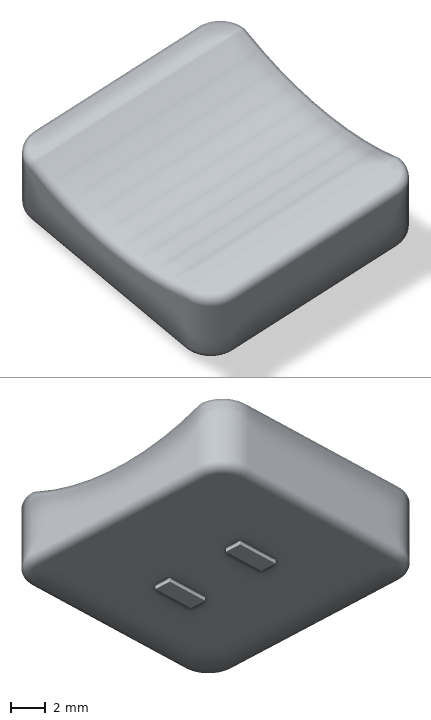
import cadquery as cq

total_height = 5.25
width = 17.5
depth = 16.5
body_height = 5.0
corner_radius = 2.0
edge_radius = 0.5

dish_width = width - 2 * corner_radius
dish_depth = 1.33

pad_height = total_height - body_height
pad_width = 1.15
pad_length = 2.9
pad_spacing = 5.7


def make_block():
    """Rounded-corner block standing on Z = 0."""
    block = cq.Workplane("XY").box(width, depth, body_height, centered=(True, True, False))
    return block.edges("|Z").fillet(corner_radius)


def make_dish_cutter():
    """Circular segment that meets the top face where the corner rounds begin."""
    return (
        cq.Workplane("XZ")
        .moveTo(-dish_width / 2, body_height)
        .threePointArc((0, body_height - dish_depth), (dish_width / 2, body_height))
        .close()
        .extrude(depth / 2, both=True)
    )


def round_dish_creases(block):
    """Soften the two long edges where the dish meets the flat top."""
    for side in (-1, 1):
        crease_middle = (side * dish_width / 2, 0, body_height)
        block = block.edges(cq.NearestToPointSelector(crease_middle)).fillet(edge_radius)
    return block


def round_outer_rims(block):
    """Round the top and bottom rims; each rim is one smooth chain of edges."""
    for rim_middle_height in (body_height - dish_depth, 0):
        rim_front_middle = (0, -depth / 2, rim_middle_height)
        block = block.edges(cq.NearestToPointSelector(rim_front_middle)).fillet(edge_radius)
    return block


def make_pads():
    """Two pads hanging below the flat bottom."""
    return (
        cq.Workplane("XY")
        .pushPoints([(-pad_spacing / 2, 0), (pad_spacing / 2, 0)])
        .rect(pad_width, pad_length)
        .extrude(-pad_height)
    )


dished_block = make_block().cut(make_dish_cutter())
cap = round_outer_rims(round_dish_creases(dished_block))
result = cap.union(make_pads())